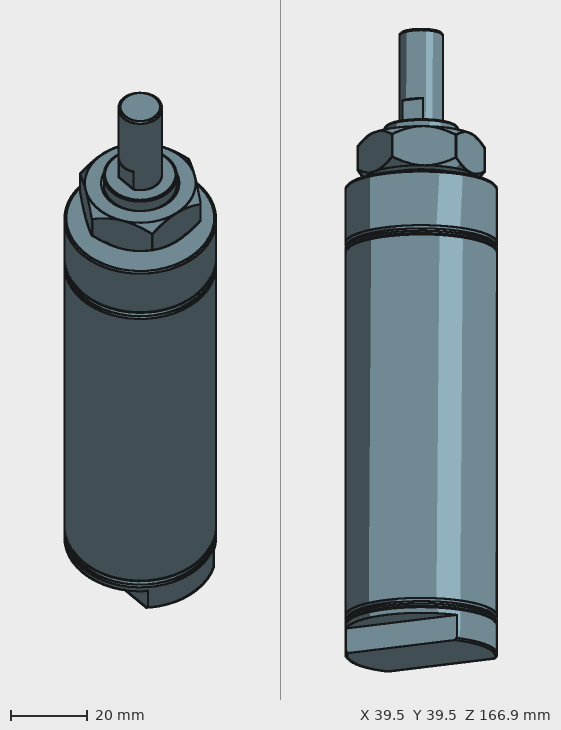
import cadquery as cq

TOTAL_LENGTH = 166.9
COLLAR_TOP = 141.7
NUT_TOP = 138.5
NUT_BOTTOM = 128.0
BARREL_TOP = 125.5

BARREL_DIAMETER = 39.5
BARREL_RADIUS = BARREL_DIAMETER / 2
BARREL_CHAMFER = 0.5
LOWER_GROOVE_WIDTH = 1.0
UPPER_GROOVE_WIDTH = 1.5
GROOVE_DEPTH = 0.5
GROOVE_PAIR_BOTTOMS = (8.2, 108.1)

TANG_HEIGHT = 6.7
TANG_THICKNESS = 22.7

COLLAR_DIAMETER = 19.0
COLLAR_CHAMFER = 0.3

NUT_ACROSS_FLATS = 28.9
NUT_CHAMFER = 2.2
NUT_COUNTERSINK = 0.7

ROD_DIAMETER = 11.3
ROD_CHAMFER = 0.5
ROD_FLAT_HEIGHT = 6.5
ROD_ACROSS_FLATS = 9.7


def cylinder(diameter, bottom, top):
    """Solid cylinder on the Z axis between two heights."""
    return cq.Workplane("XY").workplane(offset=bottom).circle(diameter / 2).extrude(top - bottom)


def side_cuts(width, diameter, bottom, top):
    """Material outside two parallel flats that face -Y and +Y."""
    height = top - bottom
    middle = (bottom + top) / 2
    slab = cq.Workplane("XY").box(2 * diameter, width, height).translate((0, 0, middle))
    return cq.Workplane("XY").box(2 * diameter, 2 * diameter, height).translate((0, 0, middle)).cut(slab)


def v_groove(bottom, width):
    """Ring that cuts a shallow V groove around the barrel."""
    outline = [
        (BARREL_RADIUS, bottom),
        (BARREL_RADIUS - GROOVE_DEPTH, bottom + width / 2),
        (BARREL_RADIUS, bottom + width),
    ]
    return cq.Workplane("XZ").polyline(outline).close().revolve(360, (0, 0, 0), (0, 1, 0))


def make_housing():
    """Barrel with its collar, grooves and tang."""
    barrel = cylinder(BARREL_DIAMETER, 0, BARREL_TOP).faces("<Z or >Z").chamfer(BARREL_CHAMFER)
    for bottom in GROOVE_PAIR_BOTTOMS:
        barrel = barrel.cut(v_groove(bottom, LOWER_GROOVE_WIDTH))
        barrel = barrel.cut(v_groove(bottom + LOWER_GROOVE_WIDTH, UPPER_GROOVE_WIDTH))
    barrel = barrel.cut(side_cuts(TANG_THICKNESS, BARREL_DIAMETER, 0, TANG_HEIGHT))
    collar = cylinder(COLLAR_DIAMETER, BARREL_TOP, COLLAR_TOP).faces(">Z").chamfer(COLLAR_CHAMFER)
    return barrel.union(collar)


def make_nut():
    """Hexagonal nut with corners pointing along Y and both ends chamfered, bored for the collar."""
    height = NUT_TOP - NUT_BOTTOM
    corner_circle = NUT_ACROSS_FLATS + 2 * NUT_CHAMFER
    hexagon = (
        cq.Workplane("XY")
        .workplane(offset=NUT_BOTTOM)
        .polygon(6, NUT_ACROSS_FLATS, circumscribed=True)
        .extrude(height)
    )
    envelope = cylinder(corner_circle, NUT_BOTTOM, NUT_TOP).faces("<Z or >Z").chamfer(NUT_CHAMFER)
    bore = cylinder(COLLAR_DIAMETER, NUT_BOTTOM, NUT_TOP)
    blank = hexagon.intersect(envelope).cut(bore)
    bore_rims = cq.selectors.RadiusNthSelector(0)
    return blank.faces("<Z or >Z").edges("%CIRCLE").edges(bore_rims).chamfer(NUT_COUNTERSINK)


def make_rod():
    """Piston rod standing on the collar, with two wrench flats at its foot."""
    rod = cylinder(ROD_DIAMETER, COLLAR_TOP, TOTAL_LENGTH).faces(">Z").chamfer(ROD_CHAMFER)
    return rod.cut(side_cuts(ROD_ACROSS_FLATS, ROD_DIAMETER, COLLAR_TOP, COLLAR_TOP + ROD_FLAT_HEIGHT))


housing = make_housing()
nut = make_nut()
rod = make_rod()
result = cq.Compound.makeCompound([housing.val(), nut.val(), rod.val()])